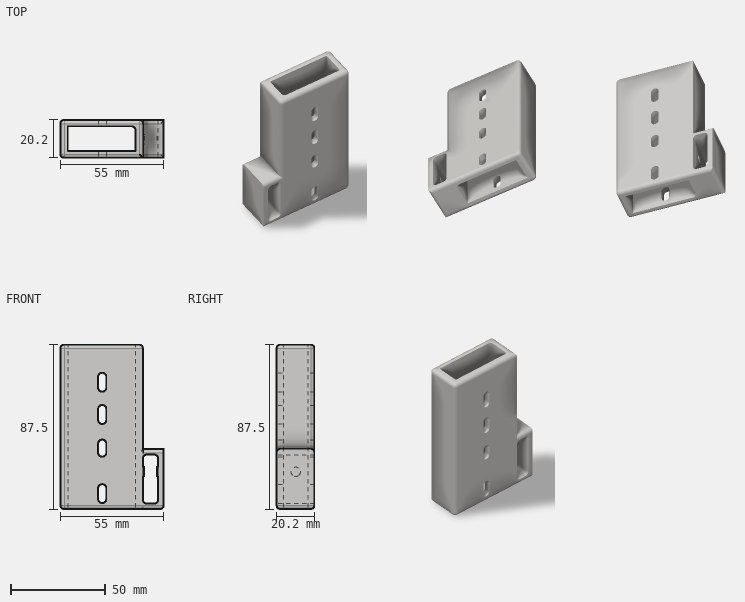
import cadquery as cq

HEIGHT = 87.5
DEPTH = 20.2
BODY_WIDTH = 44.0
EDGE_RADIUS = 2.0

CAVITY_LEFT = 4.0
CAVITY_FRONT = 3.7
CAVITY_WIDTH = 36.0
CAVITY_DEPTH = 13.0
CAVITY_RADIUS = 2.0

SLOT_X = 22.3
SLOT_WIDTH = 4.3
SLOT_SPANS = [(3.2, 13.2), (27.9, 36.9), (45.3, 55.3), (62.5, 72.45)]

OVERALL_WIDTH = 55.0
LUG_HEIGHT = 32.0
WINDOW_WIDTH = 8.0
WINDOW_BOTTOM = 3.0
WINDOW_HEIGHT = 26.0
WINDOW_RADIUS = 2.0

PIN_DIAMETER = 5.0
PIN_Z = 19.95
PIN_LENGTH = 0.6


def corner_box(x, y, z, width, depth, height):
    """Box placed by its left, front, bottom corner."""
    return cq.Workplane("XY").box(width, depth, height, centered=False).translate((x, y, z))


def make_body():
    """Body rounded on every edge except the sharp front right upright."""
    body = corner_box(0, 0, 0, BODY_WIDTH, DEPTH, HEIGHT)
    body = body.edges("|Z and (<X or >Y)").fillet(EDGE_RADIUS)
    return body.faces("<Z or >Z").edges().fillet(EDGE_RADIUS)


def make_lug():
    """Lug that starts inside the body, with sharp uprights and a sharp top right edge."""
    start = BODY_WIDTH / 2
    lug = corner_box(start, 0, 0, OVERALL_WIDTH - start, DEPTH, LUG_HEIGHT)
    return lug.edges("|X or (>X and <Z)").fillet(EDGE_RADIUS)


def make_cavity():
    """Through cavity with one rounded upright, at the back right."""
    cavity = corner_box(CAVITY_LEFT, CAVITY_FRONT, 0, CAVITY_WIDTH, CAVITY_DEPTH, HEIGHT)
    return cavity.edges("|Z and >X and >Y").fillet(CAVITY_RADIUS)


def make_slot(bottom, top):
    """Upright round-ended slot through the full depth."""
    slot = cq.Workplane("XZ", origin=(SLOT_X, 0, (bottom + top) / 2))
    return slot.slot2D(top - bottom, SLOT_WIDTH, 90).extrude(-DEPTH)


def make_window():
    window = corner_box(BODY_WIDTH, 0, WINDOW_BOTTOM, WINDOW_WIDTH, DEPTH, WINDOW_HEIGHT)
    return window.edges("|Y").fillet(WINDOW_RADIUS)


def make_pin(start_x):
    """Short pin along X, centred in the depth."""
    pin = cq.Workplane("YZ", origin=(start_x, DEPTH / 2, PIN_Z))
    return pin.circle(PIN_DIAMETER / 2).extrude(PIN_LENGTH)


result = make_body().union(make_lug()).cut(make_cavity())
for slot_bottom, slot_top in SLOT_SPANS:
    result = result.cut(make_slot(slot_bottom, slot_top))

result = result.cut(make_window())
for pin_start in (BODY_WIDTH, BODY_WIDTH + WINDOW_WIDTH - PIN_LENGTH):
    result = result.union(make_pin(pin_start))